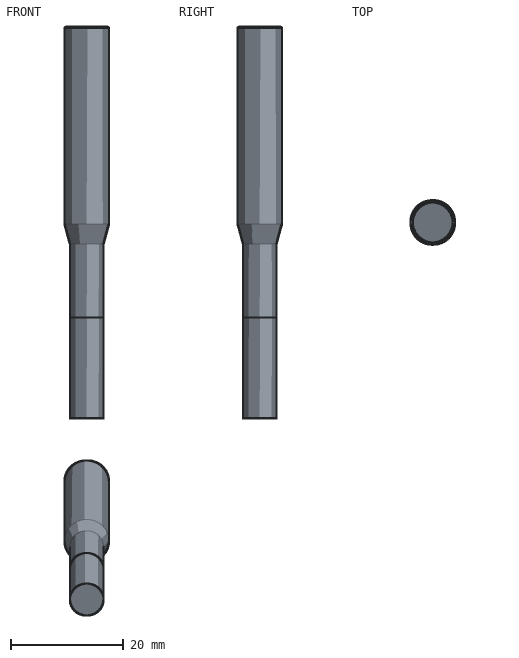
import cadquery as cq

total_length = 70.0
shank_diameter = 8.0
neck_diameter = 6.0

tip_length = 18.05
shoulder_bottom = 31.15
shoulder_top = 34.7

bevel_width = 0.4
bevel_height = 0.3

shank_radius = shank_diameter / 2
neck_radius = neck_diameter / 2
bottom_z = -total_length / 2


def make_shank():
    """Turned shank: neck, conical shoulder and beveled cylindrical grip."""
    profile = [
        (0, tip_length),
        (neck_radius, tip_length),
        (neck_radius, shoulder_bottom),
        (shank_radius, shoulder_top),
        (shank_radius, total_length - bevel_height),
        (shank_radius - bevel_width, total_length),
        (0, total_length),
    ]
    return cq.Workplane("XZ").polyline(profile).close().revolve(360, (0, 0), (0, 1))


def make_tip():
    """Plain cylindrical tip butted against the end of the neck."""
    return cq.Workplane("XY").circle(neck_radius).extrude(tip_length)


centering = (0, 0, bottom_z)
shank = make_shank().translate(centering)
tip = make_tip().translate(centering)

result = cq.Compound.makeCompound([shank.val(), tip.val()])